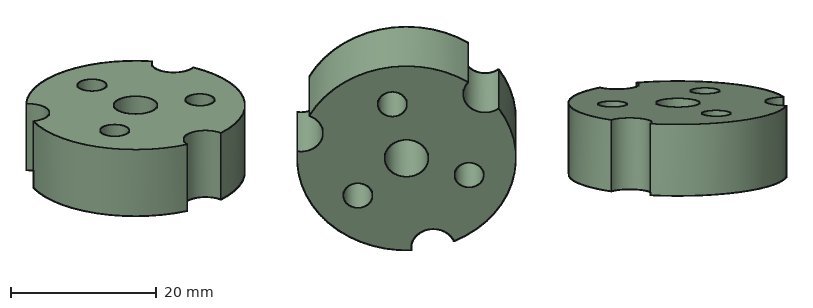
import cadquery as cq

disc_diameter = 30.0
disc_height = disc_diameter / 3
bore_diameter = disc_diameter / 5

hole_count = 3
hole_diameter = disc_diameter * 2 / 15
hole_circle_radius = 9.0
first_hole_angle = 30.0

notch_count = 3
notch_diameter = 6.0
first_notch_angle = 88.2


def ring_of_cylinders(count, diameter, ring_radius, start_angle):
    """Full-height cylinders evenly spaced around the disc axis."""
    return (
        cq.Workplane("XY")
        .polarArray(ring_radius, start_angle, 360, count)
        .circle(diameter / 2)
        .extrude(disc_height)
    )


disc = cq.Workplane("XY").circle(disc_diameter / 2).extrude(disc_height)
bore = cq.Workplane("XY").circle(bore_diameter / 2).extrude(disc_height)
holes = ring_of_cylinders(hole_count, hole_diameter, hole_circle_radius, first_hole_angle)
notches = ring_of_cylinders(notch_count, notch_diameter, disc_diameter / 2, first_notch_angle)

result = disc.cut(bore).cut(holes).cut(notches)